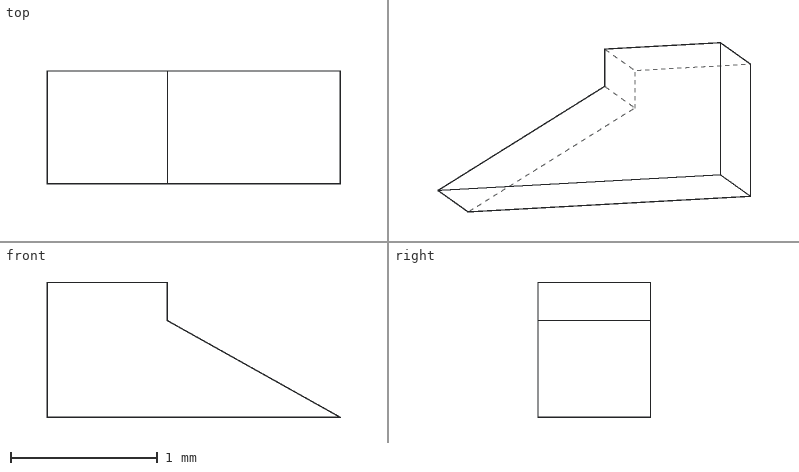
import cadquery as cq

length = 2.0
width = 0.77
height = 0.92

block_length = 0.82
ramp_top = 0.66

profile = [
    (0, 0),
    (length, 0),
    (block_length, ramp_top),
    (block_length, height),
    (0, height),
]

result = cq.Workplane("XZ").polyline(profile).close().extrude(-width)